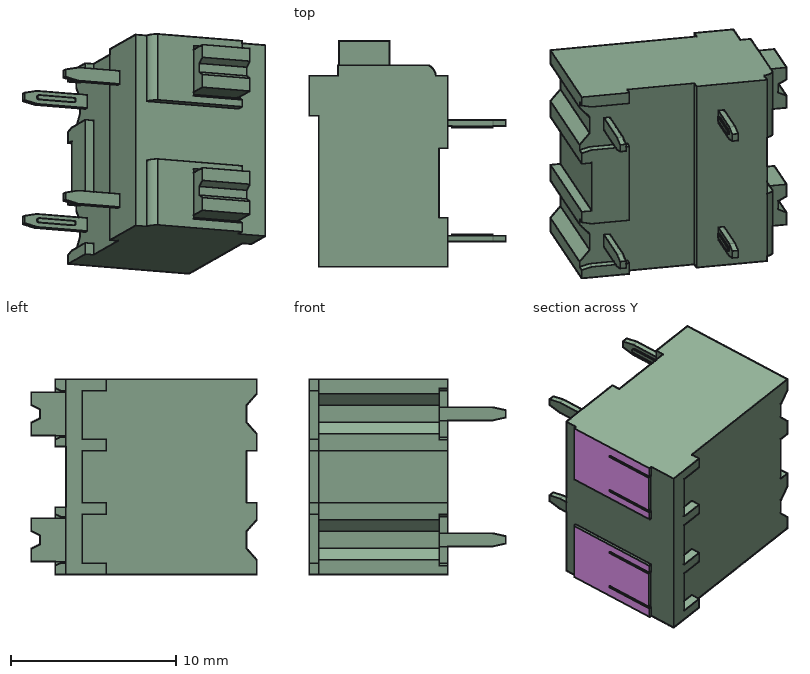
import cadquery as cq

HEIGHT = 11.82
BODY_LENGTH = 8.4
BODY_DEPTH = 11.55
POLE_OFFSET = 3.81

STEP = 0.57
TAB_FRONT = 9.12
TAB_ROOT = 10.55
TAB_HEIGHT = 0.7

FRONT_CHANNEL_DEPTH = 0.63
MIDDLE_CHANNEL_HEIGHT = 3.13
GROOVE_MOUTH = 2.43
GROOVE_FLOOR = 1.02

NOTCH_DEPTH = 0.53
NOTCH_FRONT = 2.98
NOTCH_REAR = 7.15
RECESS_HEIGHT = 2.81
LEAD_IN = 0.15
RECESS_LEAD_DEPTH = 0.61

RIDGE_START = 1.75
RIDGE_FLAT_END = 7.22
RIDGE_END = 7.67
RIDGE_REAR = 12.19
RIDGE_INNER_Z = 1.83
ROUND_MIDDLE = (7.55, 11.9)
POCKET_LEAD_DEPTH = 0.31
CLIP_START = 1.8
CLIP_LENGTH = 3.07
CLIP_HEIGHT = 2.63
CLIP_REAR = 13.65
CLIP_NOTCH_DEPTH = 0.53
CLIP_NOTCH_MOUTH = 1.06
CLIP_NOTCH_FLOOR = 0.53

PIN_END = 11.9
PIN_TIP_LENGTH = 0.79
PIN_HEIGHT = 0.8
PIN_TIP_HEIGHT = 0.45
PIN_THICKNESS = 0.37
FRONT_PIN_Y = 1.52
REAR_PIN_Y = 8.5
BEAD_START = 8.63
BEAD_HEIGHT = 0.27
BEAD_RAISE = 0.1

NOTCH_FLOOR_X = BODY_LENGTH - NOTCH_DEPTH
BEAD_END = PIN_END - PIN_TIP_LENGTH
MODULE_INNER_Z = MIDDLE_CHANNEL_HEIGHT / 2
POLES = (-POLE_OFFSET, POLE_OFFSET)


def box(x0, x1, y0, y1, z0, z1):
    return cq.Workplane("XY").box(x1 - x0, y1 - y0, z1 - z0, centered=False).translate((x0, y0, z0))


def centred_box(x0, x1, y0, y1, height, z):
    return box(x0, x1, y0, y1, z - height / 2, z + height / 2)


def trapezoid_bar(x0, x1, y_wide, y_narrow, wide, narrow, z):
    """Bar along X whose height in Z changes from wide to narrow between two Y positions."""
    outline = [
        (y_wide, z - wide / 2),
        (y_narrow, z - narrow / 2),
        (y_narrow, z + narrow / 2),
        (y_wide, z + wide / 2),
    ]
    return cq.Workplane("YZ").polyline(outline).close().extrude(x1 - x0).translate((x0, 0, 0))


def make_body():
    outline = [
        (STEP, 0),
        (BODY_LENGTH, 0),
        (BODY_LENGTH, NOTCH_FRONT),
        (NOTCH_FLOOR_X, NOTCH_FRONT),
        (NOTCH_FLOOR_X, NOTCH_REAR),
        (BODY_LENGTH, NOTCH_REAR),
        (BODY_LENGTH, BODY_DEPTH),
        (0, BODY_DEPTH),
        (0, TAB_FRONT),
        (STEP, TAB_FRONT),
    ]
    return cq.Workplane("XY").polyline(outline).close().extrude(HEIGHT / 2, both=True)


def cut_tab_windows(body):
    """Leave four tabs on the -X plate, one at each edge of each pole."""
    middle = centred_box(0, STEP, TAB_FRONT, TAB_ROOT, MIDDLE_CHANNEL_HEIGHT, 0)
    body = body.cut(middle)
    window_low = MODULE_INNER_Z + TAB_HEIGHT
    window_high = HEIGHT / 2 - TAB_HEIGHT
    window = box(0, STEP, TAB_FRONT, TAB_ROOT, window_low, window_high)
    return body.cut(window).cut(window.mirror("XY"))


def cut_front(body):
    """Cut the middle channel, the pole grooves and the recesses where the front pins emerge."""
    body = body.cut(centred_box(0, BODY_LENGTH, 0, FRONT_CHANNEL_DEPTH, MIDDLE_CHANNEL_HEIGHT, 0))
    recess_mouth = RECESS_HEIGHT + 2 * LEAD_IN
    for z in POLES:
        groove = trapezoid_bar(0, BODY_LENGTH, 0, FRONT_CHANNEL_DEPTH, GROOVE_MOUTH, GROOVE_FLOOR, z)
        recess = centred_box(NOTCH_FLOOR_X, BODY_LENGTH, 0, NOTCH_FRONT, RECESS_HEIGHT, z)
        lead_in = trapezoid_bar(
            NOTCH_FLOOR_X, BODY_LENGTH, 0, RECESS_LEAD_DEPTH, recess_mouth, RECESS_HEIGHT, z
        )
        body = body.cut(groove).cut(recess).cut(lead_in)
    return body


def make_ridge():
    """Upper rear housing, rounded at its +X end."""
    return (
        cq.Workplane("XY")
        .workplane(offset=RIDGE_INNER_Z)
        .moveTo(RIDGE_START, BODY_DEPTH)
        .lineTo(RIDGE_START, RIDGE_REAR)
        .lineTo(RIDGE_FLAT_END, RIDGE_REAR)
        .threePointArc(ROUND_MIDDLE, (RIDGE_END, BODY_DEPTH))
        .close()
        .extrude(HEIGHT / 2 - RIDGE_INNER_Z)
    )


def cut_clip_pockets(body):
    """Open each housing towards -X and +Y, with a flared mouth around the clip."""
    pocket_end = CLIP_START + CLIP_LENGTH
    pocket_mouth = RECESS_HEIGHT + 2 * LEAD_IN
    lead_front = RIDGE_REAR - POCKET_LEAD_DEPTH
    for z in POLES:
        pocket = centred_box(RIDGE_START, pocket_end, BODY_DEPTH, RIDGE_REAR, RECESS_HEIGHT, z)
        lead_in = trapezoid_bar(
            RIDGE_START, pocket_end, RIDGE_REAR, lead_front, pocket_mouth, RECESS_HEIGHT, z
        )
        body = body.cut(pocket).cut(lead_in)
    return body


def make_clip(z):
    clip_end = CLIP_START + CLIP_LENGTH
    clip = centred_box(CLIP_START, clip_end, BODY_DEPTH, CLIP_REAR, CLIP_HEIGHT, z)
    notch_floor_y = CLIP_REAR - CLIP_NOTCH_DEPTH
    notch = trapezoid_bar(
        CLIP_START, clip_end, CLIP_REAR, notch_floor_y, CLIP_NOTCH_MOUTH, CLIP_NOTCH_FLOOR, z
    )
    return clip.cut(notch)


def make_pin(y, bead_y, z):
    """Flat pin with a tapered tip and a round-ended bead along one broad face."""
    half = PIN_HEIGHT / 2
    half_tip = PIN_TIP_HEIGHT / 2
    outline = [
        (NOTCH_FLOOR_X, -half),
        (BEAD_END, -half),
        (PIN_END, -half_tip),
        (PIN_END, half_tip),
        (BEAD_END, half),
        (NOTCH_FLOOR_X, half),
    ]
    pin = cq.Workplane("XZ").polyline(outline).close().extrude(-PIN_THICKNESS)
    bead = (
        cq.Workplane("XZ")
        .center((BEAD_START + BEAD_END) / 2, 0)
        .slot2D(BEAD_END - BEAD_START, BEAD_HEIGHT)
        .extrude(-BEAD_RAISE)
    )
    return pin.translate((0, y, z)).union(bead.translate((0, bead_y, z)))


body = cut_front(cut_tab_windows(make_body()))
ridge = make_ridge()
body = cut_clip_pockets(body.union(ridge).union(ridge.mirror("XY")))

for pole_z in POLES:
    body = body.union(make_clip(pole_z))
    body = body.union(make_pin(REAR_PIN_Y, REAR_PIN_Y - BEAD_RAISE, pole_z))
    body = body.union(make_pin(FRONT_PIN_Y, FRONT_PIN_Y + PIN_THICKNESS, pole_z))

result = body